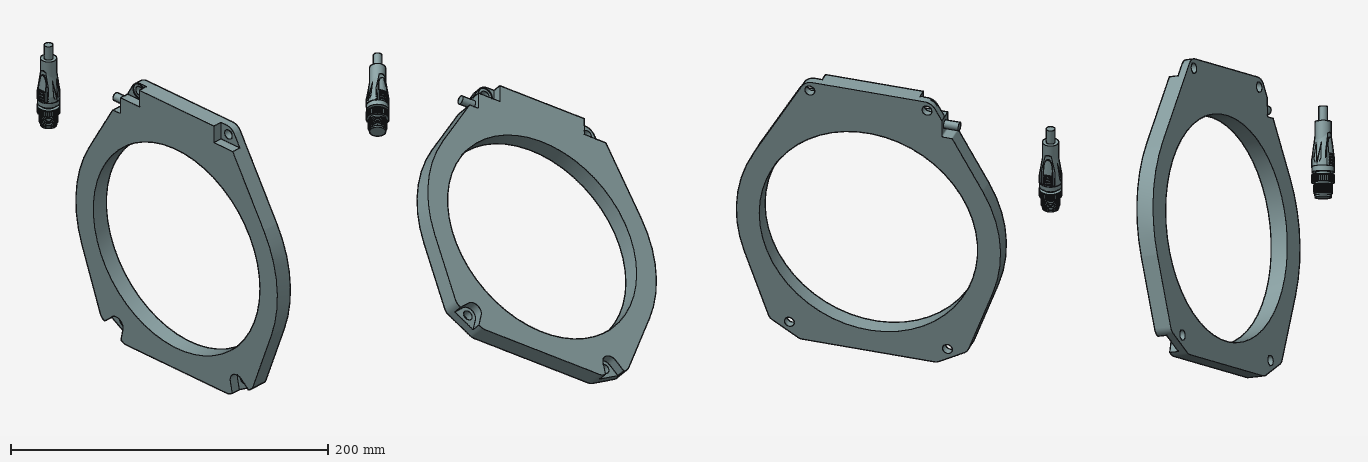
import cadquery as cq
import math

OVERALL_LENGTH = 215.0

RING_THICKNESS = 12.0
BORE_RADIUS = 72.5
RIM_RADIUS = 87.7
TOP_EDGE = 102.7
BOTTOM_CORNER_EDGE = 98.6
UPPER_ANGLE = 30.0
LOWER_ANGLE = -20.0
BOTTOM_CORNER_ANGLE = -60.0
TOP_FILLET = 8.2
SIDE_FILLET = 6.5
BOTTOM_FILLET = 6.5

HOLE_RADIUS = 3.2
POCKET_DEPTH = 6.5
TOP_HOLE_X = 39.0
TOP_HOLE_Z = 96.5
TOP_POCKET_INNER_X = 32.5
TOP_POCKET_FLOOR_Z = 90.7
SPOT_FACE_RADIUS = 5.2
SPOT_FACE_DEPTH = 0.6
BOTTOM_HOLE_X = 52.5
BOTTOM_HOLE_Z = -76.5
BOTTOM_POCKET_RADIUS = 5.8
BOTTOM_POCKET_FLARE = 18.0
BOTTOM_POCKET_REACH = 17.2

NOTCH_WALL_X = -48.8
NOTCH_SHELF_Z = 79.0
NOTCH_FILLET = 1.0
STUB_LENGTH = 9.7
STUB_Z = 85.0
CABLE_RADIUS = 2.8

CONNECTOR_RADIUS = 7.3
CONNECTOR_X = -(OVERALL_LENGTH - RIM_RADIUS - CONNECTOR_RADIUS)
CONNECTOR_Y = 9.0
TIP_BOTTOM = 38.7
TIP_STEP = 40.0
THREAD_BOTTOM = 41.0
THREAD_TOP = 47.0
NUT_BOTTOM = 48.4
NUT_TOP = 52.9
GRIP_BOTTOM = 54.8
GRIP_BASE_TOP = 58.2
FLARE_BOTTOM = 62.5
FLARE_TOP = 80.4
GRIP_TOP = 87.2
CABLE_TOP = 97.0
TIP_RADIUS = 5.2
THREAD_ROOT_RADIUS = 5.4
THREAD_RADIUS = 6.0
THREAD_TURNS = 6
NECK_RADIUS = 4.7
GRIP_BASE_RADIUS = 7.0
FLARE_RADIUS = 7.3
GRIP_RADIUS = 5.2
FLARE_TOP_HALF_X = 4.3
KNURL_COUNT = 36
KNURL_RADIUS = 0.5
KNURL_TOP = 52.2

RECESS_HALF_WIDTH = 4.5
RECESS_TOP = 80.0
RECESS_FLOOR = 4.7
PAD_BORDER = 1.5
PAD_TOP_BORDER = 3.0
RIB_GROOVE_COUNT = 4
RIB_GROOVE_WIDTH = 0.9
RIB_GROOVE_FLOOR = 6.2
RIB_TOP = 66.2

FACET_TOP = 75.0
FACET_TOP_X = 5.0
FACET_BOTTOM = 59.5
STRIP_TOP_HALF_WIDTH = 2.1


def edge_crossing(angle_a, distance_a, angle_b, distance_b):
    """Point (x, z) where two edges meet, each given by its facing angle and distance from the axis."""
    a = math.radians(angle_a)
    b = math.radians(angle_b)
    scale = math.sin(b - a)
    x = (distance_a * math.sin(b) - distance_b * math.sin(a)) / scale
    z = (distance_b * math.cos(a) - distance_a * math.cos(b)) / scale
    return x, z


def on_rim(angle):
    """Point (x, z) of the rim circle at an angle above +X."""
    return RIM_RADIUS * math.cos(math.radians(angle)), RIM_RADIUS * math.sin(math.radians(angle))


def rim_edge_at(height):
    """Point (x, z) of the straight upper right edge at a height."""
    angle = math.radians(UPPER_ANGLE)
    return (RIM_RADIUS - height * math.sin(angle)) / math.cos(angle), height


def mirrored(point):
    return -point[0], point[1]


def front_plane(y=0.0):
    """Sketch plane with local axes X and Z; a negative extrusion goes into the ring, toward +Y."""
    return cq.Workplane("XZ", origin=(0, y, 0))


def fillet_edge(body, point, radius):
    """Round the edge along Y that stands at (x, z)."""
    x, z = point
    edge = cq.selectors.NearestToPointSelector((x, RING_THICKNESS / 2, z))
    return body.edges("|Y").edges(edge).fillet(radius)


def make_ring_blank():
    top = edge_crossing(UPPER_ANGLE, RIM_RADIUS, 90, TOP_EDGE)
    side = edge_crossing(LOWER_ANGLE, RIM_RADIUS, BOTTOM_CORNER_ANGLE, BOTTOM_CORNER_EDGE)
    bottom = edge_crossing(BOTTOM_CORNER_ANGLE, BOTTOM_CORNER_EDGE, -90, RIM_RADIUS)
    blank = (
        front_plane()
        .moveTo(*mirrored(top))
        .lineTo(*top)
        .lineTo(*on_rim(UPPER_ANGLE))
        .threePointArc(on_rim(0), on_rim(LOWER_ANGLE))
        .lineTo(*side)
        .lineTo(*bottom)
        .lineTo(*mirrored(bottom))
        .lineTo(*mirrored(side))
        .lineTo(*mirrored(on_rim(LOWER_ANGLE)))
        .threePointArc(mirrored(on_rim(0)), mirrored(on_rim(UPPER_ANGLE)))
        .close()
        .extrude(-RING_THICKNESS)
    )
    for point, radius in ((top, TOP_FILLET), (side, SIDE_FILLET), (bottom, BOTTOM_FILLET)):
        blank = fillet_edge(blank, point, radius)
        blank = fillet_edge(blank, mirrored(point), radius)
    return blank.cut(front_plane().circle(BORE_RADIUS).extrude(-RING_THICKNESS))


def make_top_pocket(side):
    """Rectangular corner pocket, open to the top and outward; side is -1 or 1."""
    return (
        front_plane()
        .moveTo(side * TOP_POCKET_INNER_X, TOP_POCKET_FLOOR_Z)
        .lineTo(side * RIM_RADIUS, TOP_POCKET_FLOOR_Z)
        .lineTo(side * RIM_RADIUS, TOP_EDGE)
        .lineTo(side * TOP_POCKET_INNER_X, TOP_EDGE)
        .close()
        .extrude(-POCKET_DEPTH)
    )


def make_bottom_pocket(side):
    """Round-ended pocket around a bottom hole, flaring out through the corner edge."""
    def point(angle, start=(BOTTOM_HOLE_X, BOTTOM_HOLE_Z), length=BOTTOM_POCKET_RADIUS):
        x = start[0] + length * math.cos(math.radians(angle))
        z = start[1] + length * math.sin(math.radians(angle))
        return x, z

    right_way = BOTTOM_CORNER_ANGLE + BOTTOM_POCKET_FLARE
    left_way = BOTTOM_CORNER_ANGLE - BOTTOM_POCKET_FLARE
    right_start = point(right_way + 90)
    left_start = point(left_way - 90)
    outline = [
        left_start,
        point(BOTTOM_CORNER_ANGLE + 180),
        right_start,
        point(right_way, right_start, BOTTOM_POCKET_REACH),
        point(left_way, left_start, BOTTOM_POCKET_REACH),
    ]
    start, crown, end, outer_right, outer_left = [(side * x, z) for x, z in outline]
    return (
        front_plane()
        .moveTo(*start)
        .threePointArc(crown, end)
        .lineTo(*outer_right)
        .lineTo(*outer_left)
        .close()
        .extrude(-POCKET_DEPTH)
    )


def cut_cable_notch(ring):
    """Step cut out of the upper left edge, through the full thickness."""
    notch = (
        front_plane()
        .moveTo(NOTCH_WALL_X, NOTCH_SHELF_Z)
        .lineTo(NOTCH_WALL_X, TOP_EDGE)
        .lineTo(-RIM_RADIUS, TOP_EDGE)
        .lineTo(-RIM_RADIUS, NOTCH_SHELF_Z)
        .close()
        .extrude(-RING_THICKNESS)
    )
    ring = ring.cut(notch)
    shelf_rim = mirrored(rim_edge_at(NOTCH_SHELF_Z))
    for point in ((NOTCH_WALL_X, NOTCH_SHELF_Z), shelf_rim):
        ring = fillet_edge(ring, point, NOTCH_FILLET)
    return ring


def make_ring():
    ring = cut_cable_notch(make_ring_blank())
    for side in (-1, 1):
        ring = ring.cut(make_top_pocket(side)).cut(make_bottom_pocket(side))
    holes = [(s * TOP_HOLE_X, TOP_HOLE_Z) for s in (-1, 1)]
    holes += [(s * BOTTOM_HOLE_X, BOTTOM_HOLE_Z) for s in (-1, 1)]
    ring = ring.cut(front_plane().pushPoints(holes).circle(HOLE_RADIUS).extrude(-RING_THICKNESS))
    spot_face = (
        front_plane(POCKET_DEPTH)
        .center(-TOP_HOLE_X, TOP_HOLE_Z)
        .circle(SPOT_FACE_RADIUS)
        .extrude(-SPOT_FACE_DEPTH)
    )
    stub = (
        cq.Workplane("YZ", origin=(NOTCH_WALL_X, RING_THICKNESS / 2, STUB_Z))
        .circle(CABLE_RADIUS)
        .extrude(-STUB_LENGTH)
    )
    return ring.cut(spot_face).union(stub)


def cylinder(radius, bottom, top):
    """Cylinder on the Z axis between two heights."""
    return cq.Workplane("XY", origin=(0, 0, bottom)).circle(radius).extrude(top - bottom)


def make_plug():
    """Plug tip, ring-shaped thread crests and neck, turned about Z up into the grip."""
    pitch = (THREAD_TOP - THREAD_BOTTOM) / THREAD_TURNS
    profile = (
        cq.Workplane("XZ")
        .moveTo(0, TIP_BOTTOM)
        .lineTo(TIP_RADIUS, TIP_BOTTOM)
        .lineTo(TIP_RADIUS, TIP_STEP)
        .lineTo(THREAD_ROOT_RADIUS, TIP_STEP)
        .lineTo(THREAD_ROOT_RADIUS, THREAD_BOTTOM)
    )
    for turn in range(THREAD_TURNS):
        base = THREAD_BOTTOM + turn * pitch
        profile = profile.lineTo(THREAD_RADIUS, base + pitch / 2)
        profile = profile.lineTo(THREAD_ROOT_RADIUS, base + pitch)
    profile = (
        profile
        .lineTo(THREAD_ROOT_RADIUS, NUT_BOTTOM)
        .lineTo(NECK_RADIUS, NUT_BOTTOM)
        .lineTo(NECK_RADIUS, GRIP_BOTTOM)
        .lineTo(0, GRIP_BOTTOM)
        .close()
    )
    return profile.revolve(360, (0, 0, 0), (0, 1, 0))


def make_nut():
    """Nut with knurl grooves that stop below its plain top rim."""
    nut = cylinder(CONNECTOR_RADIUS, NUT_BOTTOM, NUT_TOP)
    grooves = (
        cq.Workplane("XY", origin=(0, 0, NUT_BOTTOM))
        .polarArray(CONNECTOR_RADIUS, 360 / KNURL_COUNT / 2, 360, KNURL_COUNT)
        .circle(KNURL_RADIUS)
        .extrude(KNURL_TOP - NUT_BOTTOM)
    )
    return nut.cut(grooves)


def make_pad_arch(half_width, top):
    """Round-topped arch prism on the -Y side, from the recess floor outward."""
    middle = (GRIP_BASE_TOP + top) / 2
    return (
        front_plane(-RECESS_FLOOR)
        .moveTo(-half_width, GRIP_BASE_TOP)
        .lineTo(half_width, GRIP_BASE_TOP)
        .lineTo(half_width, middle)
        .spline([(0, top), (-half_width, middle)], tangents=[(0, 1), (0, -1)], includeCurrent=True)
        .close()
        .extrude(CONNECTOR_RADIUS)
    )


def make_pad_cutter():
    """Arched border around the finger pad, with the cross grooves of its lower part."""
    pad_half_width = RECESS_HALF_WIDTH - PAD_BORDER
    pad = make_pad_arch(pad_half_width, RECESS_TOP - PAD_TOP_BORDER)
    cutter = make_pad_arch(RECESS_HALF_WIDTH, RECESS_TOP).cut(pad)
    pitch = (RIB_TOP - GRIP_BASE_TOP) / RIB_GROOVE_COUNT
    for index in range(RIB_GROOVE_COUNT):
        groove = (
            front_plane(-RIB_GROOVE_FLOOR)
            .center(0, RIB_TOP - index * pitch - RIB_GROOVE_WIDTH / 2)
            .rect(2 * pad_half_width, RIB_GROOVE_WIDTH)
            .extrude(CONNECTOR_RADIUS)
        )
        cutter = cutter.union(groove)
    return cutter


def make_facet_cutter():
    """Leaning wedge that trims the +X side flat, except for the strip along its middle."""
    wedge = (
        cq.Workplane("XZ")
        .moveTo(FLARE_RADIUS, FACET_BOTTOM)
        .lineTo(FLARE_RADIUS, FACET_TOP)
        .lineTo(FACET_TOP_X, FACET_TOP)
        .close()
        .extrude(CONNECTOR_RADIUS, both=True)
    )
    strip = (
        cq.Workplane("YZ")
        .moveTo(0, FACET_BOTTOM)
        .lineTo(STRIP_TOP_HALF_WIDTH, FACET_TOP)
        .lineTo(-STRIP_TOP_HALF_WIDTH, FACET_TOP)
        .close()
        .extrude(CONNECTOR_RADIUS)
    )
    return wedge.cut(strip)


def cut_both_sides(body, cutter):
    """Cut with the cutter and with its copy turned half way round the connector axis."""
    opposite = cutter.rotate((0, 0, 0), (0, 0, 1), 180)
    return body.cut(cutter).cut(opposite)


def make_grip():
    """Round barrel that flares to a wider base, with trimmed sides and two finger pads."""
    base = cylinder(GRIP_BASE_RADIUS, GRIP_BOTTOM, GRIP_BASE_TOP)
    skirt = cylinder(FLARE_RADIUS, GRIP_BASE_TOP, FLARE_BOTTOM)
    flare = (
        cq.Workplane("XY", origin=(0, 0, FLARE_BOTTOM))
        .ellipse(FLARE_RADIUS, FLARE_RADIUS)
        .workplane(offset=FLARE_TOP - FLARE_BOTTOM)
        .ellipse(FLARE_TOP_HALF_X, GRIP_RADIUS)
        .loft(combine=True)
    )
    grip = base.union(skirt).union(flare)
    grip = cut_both_sides(grip, make_facet_cutter())
    grip = grip.union(cylinder(GRIP_RADIUS, GRIP_BOTTOM, GRIP_TOP))
    return cut_both_sides(grip, make_pad_cutter())


def make_connector():
    cable = cylinder(CABLE_RADIUS, GRIP_TOP, CABLE_TOP)
    connector = make_grip().union(make_plug()).union(make_nut()).union(cable)
    return connector.translate((CONNECTOR_X, CONNECTOR_Y, 0))


ring = make_ring()
connector = make_connector()
result = cq.Compound.makeCompound([ring.val(), connector.val()])